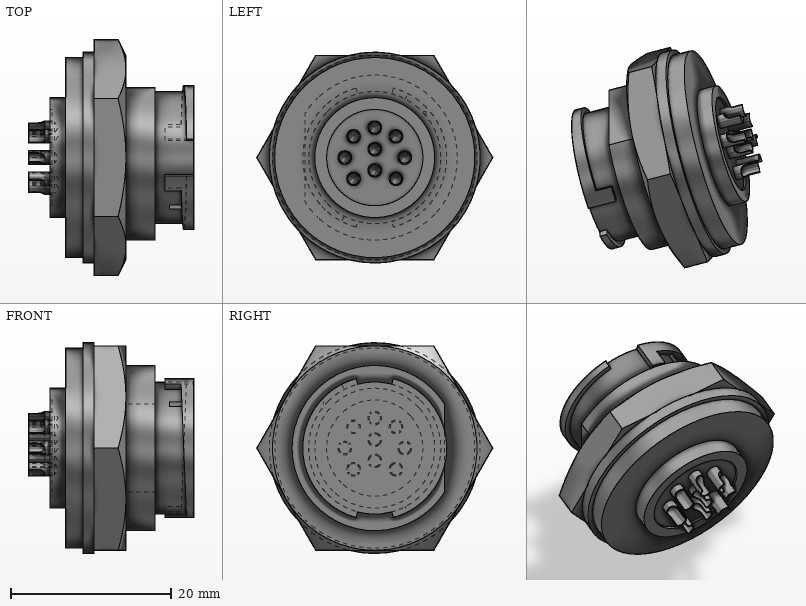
import cadquery as cq
import math

insert_rear = 2.65
flange_rear = 4.62
collar_rear = 6.8
nut_rear = 8.15
nut_front = 12.13
body_front = 15.78
barrel_front = 20.6

insert_radius = 7.48
recess_radius = 6.0
recess_depth = 0.3
recess_floor = insert_rear + recess_depth
flange_radius = 12.48
collar_radius = 26.3 / 2
body_radius = 10.3
body_flat_y = 8.7
barrel_radius = 8.25

nut_across_corners = 29.45
nut_across_flats = nut_across_corners * math.cos(math.radians(30))
nut_chamfer_length = 0.97

cam_radius = 8.98
cam_count = 2
cam_start_angle = 15.0
cam_stop_angle = 27.5
cam_end_angle = 180.0 - cam_start_angle
cam_stop_length = 3.62
cam_start_length = 1.6
cam_end_length = 0.9

mark_y = 6.4
mark_z = 5.77
mark_width = 0.88
mark_length = 3.03

cup_radius = 0.85
cup_bore_radius = 0.7
cup_bore_depth = 3.25
cup_tip_angle = 118.0
cup_circle_radius = 3.75
cup_circle_places = 8
cup_vacant_place = 4
cup_pitch_angle = 360 / cup_circle_places
cup_opening_lead = 45.0
cup_cut_length = 2.05
inner_cup_heights = (1.05, -1.6)
inner_opening_angle = 270.0


def disc(radius, start, end):
    """Solid cylinder about the X axis between two axial stations."""
    return cq.Workplane("YZ").workplane(offset=start).circle(radius).extrude(end - start)


def ring_point(radius, angle):
    """Point (Y, Z) at an angle measured from +Z towards -Y."""
    turn = math.radians(angle)
    return (-radius * math.sin(turn), radius * math.cos(turn))


def make_body():
    """Turned body from insert to barrel, with a flat on the +Y side ahead of the nut."""
    body = disc(insert_radius, insert_rear, flange_rear)
    body = body.cut(disc(recess_radius, insert_rear, recess_floor))
    body = body.union(disc(flange_radius, flange_rear, collar_rear))
    body = body.union(disc(collar_radius, collar_rear, nut_rear))
    front_body = disc(body_radius, nut_rear, body_front)
    beyond_flat = cq.Workplane("XY").box(
        body_front - nut_front, body_radius, 2 * body_radius, centered=(False, False, True)
    ).translate((nut_front, body_flat_y, 0))
    body = body.union(front_body.cut(beyond_flat))
    return body.union(disc(barrel_radius, body_front, barrel_front))


def make_nut():
    """Hexagonal nut with corners on +Y and -Y and its front corners turned to a cone."""
    nut = (
        cq.Workplane("YZ")
        .workplane(offset=nut_rear)
        .polygon(6, nut_across_corners)
        .extrude(nut_front - nut_rear)
    )
    envelope = (
        cq.Workplane("XY")
        .moveTo(nut_rear, 0)
        .lineTo(nut_rear, nut_across_corners / 2)
        .lineTo(nut_front - nut_chamfer_length, nut_across_corners / 2)
        .lineTo(nut_front, nut_across_flats / 2)
        .lineTo(nut_front, 0)
        .close()
        .revolve(360, (0, 0, 0), (1, 0, 0))
    )
    return nut.intersect(envelope)


def ring_sector(start_angle, end_angle, length):
    """Part of the cam ring, from the barrel axis out, ending at the barrel front."""
    return (
        cq.Workplane("YZ")
        .workplane(offset=barrel_front - length)
        .lineTo(*ring_point(cam_radius, start_angle))
        .threePointArc(
            ring_point(cam_radius, (start_angle + end_angle) / 2),
            ring_point(cam_radius, end_angle),
        )
        .close()
        .extrude(length)
    )


def make_cam():
    """Stop block followed by a ramp whose rear face is a tilted plane."""
    stop = ring_sector(cam_start_angle, cam_stop_angle, cam_stop_length)
    ramp = ring_sector(cam_stop_angle, cam_end_angle, cam_start_length)
    top = cam_radius * math.cos(math.radians(cam_stop_angle))
    bottom = cam_radius * math.cos(math.radians(cam_end_angle))
    wedge = (
        cq.Workplane("XZ")
        .polyline([
            (barrel_front, top),
            (barrel_front - cam_start_length, top),
            (barrel_front - cam_end_length, bottom),
            (barrel_front, bottom),
        ])
        .close()
        .extrude(cam_radius, both=True)
    )
    return stop.union(ramp.intersect(wedge))


def make_mark():
    """Square bar lying along X, half sunk in the barrel."""
    return cq.Workplane("XY").box(mark_length, mark_width, mark_width, centered=False).translate(
        (barrel_front - mark_length, -mark_y, mark_z - mark_width)
    )


def make_cup(y, z, opening_angle):
    """Pin cut open along one side near its tip, and the drilled bore to cut from it."""
    cup = disc(cup_radius, 0, recess_floor)
    cone_depth = cup_bore_radius / math.tan(math.radians(cup_tip_angle / 2))
    bore = (
        cq.Workplane("XZ")
        .lineTo(0, cup_bore_radius)
        .lineTo(cup_bore_depth, cup_bore_radius)
        .lineTo(cup_bore_depth + cone_depth, 0)
        .close()
        .revolve(360, (0, 0, 0), (1, 0, 0))
    )
    bend = cup_radius * math.sqrt(0.5)
    bend_start = cup_cut_length - cup_radius
    opening = (
        cq.Workplane("XZ")
        .lineTo(bend_start, 0)
        .threePointArc((bend_start + bend, cup_radius - bend), (cup_cut_length, cup_radius))
        .lineTo(0, cup_radius)
        .close()
        .extrude(cup_radius, both=True)
    )
    cup = cup.cut(opening)
    cup = cup.rotate((0, 0, 0), (1, 0, 0), opening_angle)
    return cup.translate((0, y, z)), bore.translate((0, y, z))


cups = []
for place in range(cup_circle_places):
    if place == cup_vacant_place:
        continue
    position_angle = place * cup_pitch_angle
    y, z = ring_point(cup_circle_radius, position_angle)
    cups.append(make_cup(y, z, position_angle + cup_opening_lead))
for z in inner_cup_heights:
    cups.append(make_cup(0, z, inner_opening_angle))

result = make_body().union(make_nut()).union(make_mark())
for index in range(cam_count):
    cam = make_cam().rotate((0, 0, 0), (1, 0, 0), index * 360 / cam_count)
    result = result.union(cam)
for cup, bore in cups:
    result = result.union(cup).cut(bore)